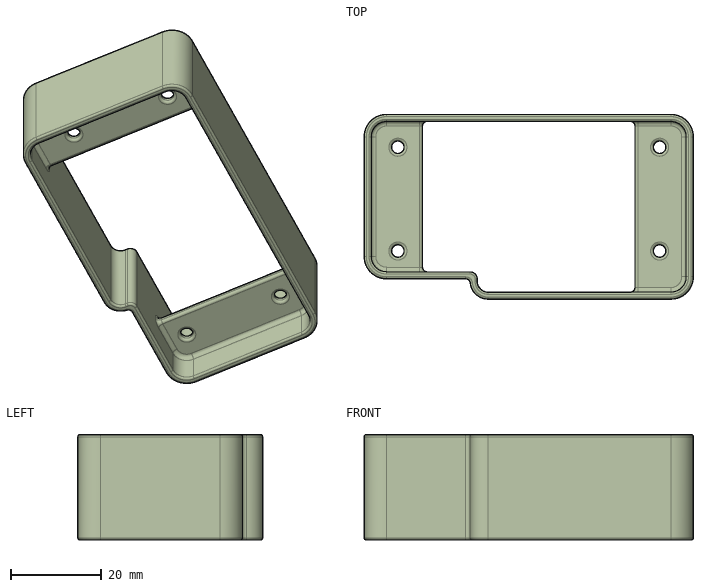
import cadquery as cq
import math

length = 73.0
width = 41.0
height = 23.4
wall = 1.6
corner_radius = 5.0
rim_fillet = 0.5

step_x = 23.5
step_depth = 4.5
step_outer_radius = 4.0
step_inner_radius = 1.0

ledge_reach = 13.0
ledge_thickness = 2.0
ledge_top = 10.4
ledge_edge_fillet = 0.7
ledge_root_fillet = 1.0

hole_diameter = 2.7
hole_fillet = 0.65
hole_side_inset = 7.5
hole_back_inset = 7.3
hole_pitch = 23.0

left = -length / 2
right = length / 2
front = -width / 2
back = width / 2
step_wall_x = left + step_x
step_wall_y = front + step_depth
step_center = (step_wall_x + step_outer_radius, front + step_outer_radius)
ledge_bottom = ledge_top - ledge_thickness
diagonal = math.cos(math.radians(45))
margin = 0.01


def arc_point(center, radius, direction):
    """Point on a circle, in the given unit direction from its center."""
    return (center[0] + radius * direction[0], center[1] + radius * direction[1])


def add_round_corners(outline, inset, radius):
    """Continue from the front wall's right end around to the front wall's left end."""
    x_left, x_right = left + inset, right - inset
    y_front, y_back = front + inset, back - inset
    y_step = step_wall_y + inset
    front_right = (x_right - radius, y_front + radius)
    back_right = (x_right - radius, y_back - radius)
    back_left = (x_left + radius, y_back - radius)
    front_left = (x_left + radius, y_step + radius)
    return (
        outline.lineTo(front_right[0], y_front)
        .threePointArc(arc_point(front_right, radius, (diagonal, -diagonal)), (x_right, front_right[1]))
        .lineTo(x_right, back_right[1])
        .threePointArc(arc_point(back_right, radius, (diagonal, diagonal)), (back_right[0], y_back))
        .lineTo(back_left[0], y_back)
        .threePointArc(arc_point(back_left, radius, (-diagonal, diagonal)), (x_left, back_left[1]))
        .lineTo(x_left, front_left[1])
        .threePointArc(arc_point(front_left, radius, (-diagonal, -diagonal)), (front_left[0], y_step))
    )


def outer_outline():
    """Outside of the wall; the two step arcs meet tangentially."""
    center_rise = step_center[1] - (step_wall_y - step_inner_radius)
    center_distance = step_outer_radius + step_inner_radius
    center_run = math.sqrt(center_distance**2 - center_rise**2)
    hollow_center = (step_center[0] - center_run, step_wall_y - step_inner_radius)
    tilt = math.atan2(center_rise, center_run)
    hollow_mid = (tilt + math.pi / 2) / 2
    round_mid = (tilt + math.pi + 3 * math.pi / 2) / 2
    meeting = arc_point(hollow_center, step_inner_radius, (math.cos(tilt), math.sin(tilt)))
    outline = cq.Workplane("XY").moveTo(step_center[0], front)
    return (
        add_round_corners(outline, 0, corner_radius)
        .lineTo(hollow_center[0], step_wall_y)
        .threePointArc(
            arc_point(hollow_center, step_inner_radius, (math.cos(hollow_mid), math.sin(hollow_mid))),
            meeting,
        )
        .threePointArc(
            arc_point(step_center, step_outer_radius, (math.cos(round_mid), math.sin(round_mid))),
            (step_center[0], front),
        )
        .close()
    )


def inner_outline():
    """Inside of the wall, one wall thickness in.

    The arc behind the step's hollow is centered on the step's unrounded corner.
    """
    radius = step_outer_radius - wall
    corner = (step_wall_x, step_wall_y)
    outline = cq.Workplane("XY").moveTo(step_center[0], front + wall)
    return (
        add_round_corners(outline, wall, corner_radius - wall)
        .lineTo(corner[0], corner[1] + wall)
        .threePointArc(arc_point(corner, wall, (diagonal, diagonal)), (corner[0] + wall, corner[1]))
        .lineTo(corner[0] + wall, step_center[1])
        .threePointArc(arc_point(step_center, radius, (-diagonal, -diagonal)), (step_center[0], front + wall))
        .close()
    )


def make_frame():
    """Open wall with rounded top and bottom rims."""
    frame = outer_outline().extrude(height).cut(inner_outline().extrude(height))
    return frame.faces("<Z or >Z").edges().fillet(rim_fillet)


def make_ledges():
    """Two ledges with rounded free edges."""
    opening = (
        cq.Workplane("XY")
        .box(length - 2 * ledge_reach, 2 * width, ledge_thickness, centered=(True, True, False))
        .translate((0, 0, ledge_bottom))
    )
    ledges = inner_outline().extrude(ledge_thickness).translate((0, 0, ledge_bottom)).cut(opening)
    free_x = right - ledge_reach
    free_edges = cq.selectors.BoxSelector((-free_x - margin, front, 0), (free_x + margin, back, height))
    return ledges.edges("|Y").edges(free_edges).fillet(ledge_edge_fillet)


def blend_ledge_roots(body):
    """Fillet the edges where the ledges meet the wall, running around the free ends too."""
    ledge_zone = cq.selectors.BoxSelector(
        (left, front, ledge_bottom - margin), (right, back, ledge_top + margin), boundingbox=True
    )
    free_edge_x = right - ledge_reach + ledge_edge_fillet + margin
    free_edges = cq.selectors.BoxSelector((-free_edge_x, front / 2, 0), (free_edge_x, back / 2, height))
    return body.edges(ledge_zone - free_edges).fillet(ledge_root_fillet)


def cut_screw_holes(body):
    """Through holes in both ledges, with rounded mouths above and below."""
    hole_x = right - hole_side_inset
    back_hole_y = back - hole_back_inset
    hole_points = [(x, y) for x in (-hole_x, hole_x) for y in (back_hole_y, back_hole_y - hole_pitch)]
    holes = (
        cq.Workplane("XY", origin=(0, 0, ledge_bottom))
        .pushPoints(hole_points)
        .circle(hole_diameter / 2)
        .extrude(ledge_thickness)
    )
    body = body.cut(holes)
    for x, y in hole_points:
        reach = hole_diameter / 2 + margin
        hole_zone = cq.selectors.BoxSelector(
            (x - reach, y - reach, ledge_bottom - margin),
            (x + reach, y + reach, ledge_top + margin),
            boundingbox=True,
        )
        body = body.edges("%CIRCLE").edges(hole_zone).fillet(hole_fillet)
    return body


result = cut_screw_holes(blend_ledge_roots(make_frame().union(make_ledges())))